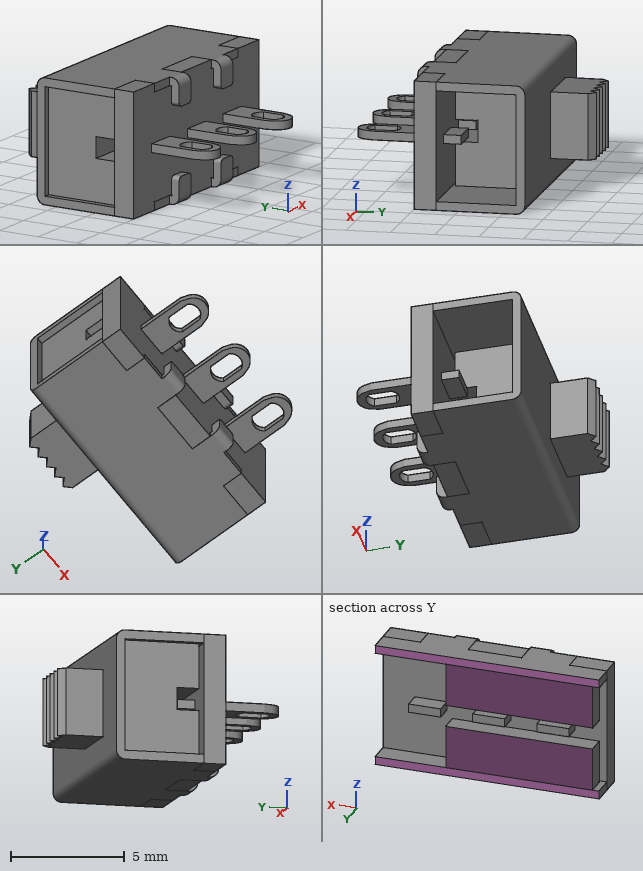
import cadquery as cq


length = 10.5
height = 5.8
sheet = 0.4
depth_to_base = 4.0
bend_radius = sheet
leg_inner_x = 1.25
leg_width = 2.25
tab_width = 1.0
tab_drop = 1.3
tab_gap = 0.1
tab_corner_radius = 0.2

base_thickness = 1.0
terminal_pitch = 3.0
terminal_width = 1.5
terminal_thickness = sheet
terminal_inner_reach = 0.8
terminal_outer_reach = 3.0
tip_taper_length = 0.81
tip_arc_height = 0.43
tip_arc_width = 1.26
eye_width = 0.9
eye_length = 1.5
eye_straight = 1.0
eye_to_tip = 0.4

slider_end_gap = 0.3
slider_base_gap = 0.15
stem_size = 3.0
stem_x = -stem_size / 2
stem_reach = 2.0
tooth_count = 5
tooth_depth = 0.3
groove_height = 1.0
groove_depth = 1.0

inner_height = height - 2 * sheet
base_front_y = -depth_to_base
base_back_y = base_front_y - base_thickness
tab_inner_y = base_back_y - tab_gap
tab_outer_y = tab_inner_y - sheet
terminal_tip_y = base_back_y - terminal_outer_reach
slider_back_y = base_front_y + slider_base_gap


def box(x_min, x_max, y_min, y_max, z_min, z_max):
    """Axis-aligned block between the given limits."""
    size = (x_max - x_min, y_max - y_min, z_max - z_min)
    return cq.Workplane("XY").box(*size, centered=False).translate((x_min, y_min, z_min))


def mirrored_four(shape):
    """The shape and its reflections across the XY and YZ planes."""
    pair = [shape, shape.mirror("YZ")]
    return pair + [copy.mirror("XY") for copy in pair]


def make_leg():
    """Upper right leg of the shell, which lies in a notch of the base."""
    return box(
        leg_inner_x, leg_inner_x + leg_width,
        base_back_y, base_front_y,
        height / 2 - sheet, height / 2,
    )


def make_tab():
    """Upper right clinch tab, bent down behind the base."""
    tab_end_x = leg_inner_x + tab_width
    top = height / 2
    tab = box(leg_inner_x, tab_end_x, tab_outer_y, base_back_y, top - tab_drop, top)
    tab = tab.edges("|X and >Z and <Y").fillet(bend_radius)
    tab = tab.edges("|Y and <Z").fillet(tab_corner_radius)
    clearance = box(leg_inner_x, tab_end_x, tab_inner_y, base_back_y, top - tab_drop, top - sheet)
    return tab.cut(clearance)


def make_shell():
    """Channel open at both ends, with a stem window, four legs and four tabs."""
    outside = box(-length / 2, length / 2, base_front_y, 0, -height / 2, height / 2)
    outside = outside.edges("|X and >Y").fillet(bend_radius)
    cavity = box(-length / 2, length / 2, base_front_y, -sheet, -inner_height / 2, inner_height / 2)
    window = box(
        stem_x - stem_size / 2, stem_x + stem_size / 2,
        -sheet, 0,
        -stem_size / 2, stem_size / 2,
    )
    shell = outside.cut(cavity).cut(window)
    for leg in mirrored_four(make_leg()):
        shell = shell.union(leg)
    for tab in mirrored_four(make_tab()):
        shell = shell.union(tab)
    return shell


def make_terminal(x):
    """Flat solder terminal with a rounded tip and an elongated eye."""
    half_width = terminal_width / 2
    taper_y = terminal_tip_y + tip_taper_length
    arc_y = terminal_tip_y + tip_arc_height
    inner_y = base_front_y + terminal_inner_reach
    blade = (
        cq.Workplane("XY")
        .moveTo(-half_width, inner_y)
        .lineTo(-half_width, taper_y)
        .lineTo(-tip_arc_width / 2, arc_y)
        .threePointArc((0, terminal_tip_y), (tip_arc_width / 2, arc_y))
        .lineTo(half_width, taper_y)
        .lineTo(half_width, inner_y)
        .close()
        .extrude(terminal_thickness / 2, both=True)
    )
    eye_y = terminal_tip_y + eye_to_tip + eye_length / 2
    eye = (
        cq.Workplane("XY")
        .center(0, eye_y)
        .moveTo(-eye_width / 2, -eye_straight / 2)
        .threePointArc((0, -eye_length / 2), (eye_width / 2, -eye_straight / 2))
        .lineTo(eye_width / 2, eye_straight / 2)
        .threePointArc((0, eye_length / 2), (-eye_width / 2, eye_straight / 2))
        .close()
        .extrude(terminal_thickness / 2, both=True)
    )
    return blade.cut(eye).translate((x, 0, 0))


def make_base():
    """Base plate notched for the shell legs, in one piece with its three terminals."""
    base = box(-length / 2, length / 2, base_back_y, base_front_y, -height / 2, height / 2)
    for leg in mirrored_four(make_leg()):
        base = base.cut(leg)
    for position in (-1, 0, 1):
        base = base.union(make_terminal(position * terminal_pitch))
    return base


def make_stem():
    """Square stem that ends in a row of grip teeth."""
    tooth_pitch = stem_size / tooth_count
    left_x = stem_x - stem_size / 2
    valley_y = stem_reach - tooth_depth
    outline = [(left_x, -sheet), (left_x, valley_y)]
    for tooth in range(tooth_count):
        outline.append((left_x + (tooth + 0.5) * tooth_pitch, stem_reach))
        outline.append((left_x + (tooth + 1) * tooth_pitch, valley_y))
    outline.append((left_x + stem_size, -sheet))
    return cq.Workplane("XY").polyline(outline).close().extrude(stem_size / 2, both=True)


def make_slider():
    """Slider body centred on its stem, with a groove along X for the terminals."""
    body_left_x = -length / 2 + slider_end_gap
    body_right_x = 2 * stem_x - body_left_x
    body = box(body_left_x, body_right_x, slider_back_y, -sheet, -inner_height / 2, inner_height / 2)
    groove = box(
        body_left_x, body_right_x,
        slider_back_y, slider_back_y + groove_depth,
        -groove_height / 2, groove_height / 2,
    )
    return body.cut(groove).union(make_stem())


shell = make_shell()
base = make_base()
slider = make_slider()

result = cq.Compound.makeCompound([body.solids().val() for body in (shell, base, slider)])